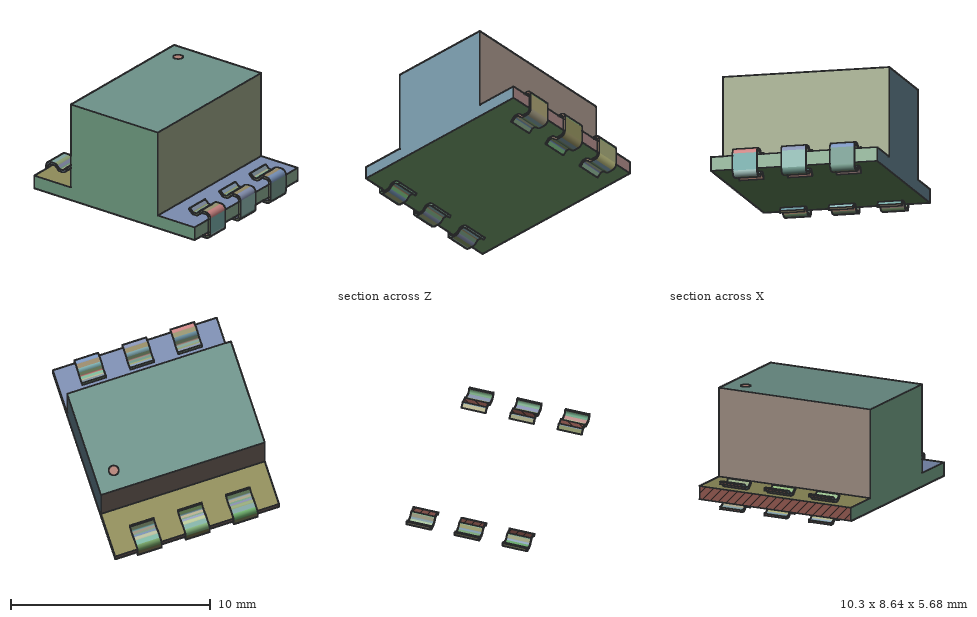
import cadquery as cq
import math

overall_width = 10.29
overall_height = 5.68
housing_depth = 8.64
base_thickness = 0.71
block_width = 5.45

strip_thickness = 0.12
clip_width = 1.27
clip_pitch = 2 * clip_width
clips_per_side = 3
clip_rise = 0.36
shoulder_radius = 0.28
contact_radius = 0.1
shoulder_flat = 0.24
contact_flat = 0.12
lip_length = 0.24
slope_angle = 45.0

mark_diameter = 0.5
mark_depth = 0.1
mark_inset = 1.0

base_width = overall_width - 2 * strip_thickness
base_bottom = clip_rise
base_middle = base_bottom + base_thickness / 2
mark_x = -block_width / 2 + mark_inset
mark_y = housing_depth / 2 - mark_inset

shoulder_bend = shoulder_radius - strip_thickness / 2
contact_bend = contact_radius + strip_thickness / 2

slope = math.radians(slope_angle)
bend_drop = (shoulder_bend + contact_bend) * (1 - math.cos(slope))
slope_length = (clip_rise - strip_thickness - bend_drop) / math.sin(slope)

upper_half_path = [
    (base_thickness / 2 + clip_rise - shoulder_radius,),
    (-90.0, shoulder_bend),
    (shoulder_flat,),
    (-slope_angle, shoulder_bend),
    (slope_length,),
    (slope_angle, contact_bend),
    (contact_flat,),
    (slope_angle, contact_bend),
    (lip_length,),
]


def make_mark():
    return (
        cq.Workplane("XY", origin=(mark_x, mark_y, overall_height))
        .circle(mark_diameter / 2)
        .extrude(-mark_depth)
    )


def make_housing():
    base = cq.Workplane("XY", origin=(0, 0, base_bottom)).box(
        base_width, housing_depth, base_thickness, centered=(True, True, False)
    )
    block = cq.Workplane("XY", origin=(0, 0, base_bottom)).box(
        block_width, housing_depth, overall_height - base_bottom, centered=(True, True, False)
    )
    return base.union(block).cut(make_mark())


def walk(path, x, z, heading):
    """List (x, z, heading) along a path: its start, then the middle and end of every step."""
    stations = [(x, z, heading)]
    for step in path:
        if len(step) == 1:
            half_turn = 0.0
            half_chord = step[0] / 2
        else:
            half_turn = math.radians(step[0]) / 2
            half_chord = 2 * step[1] * math.sin(abs(half_turn) / 2)
        for _ in range(2):
            chord_heading = heading + half_turn / 2
            x += half_chord * math.cos(chord_heading)
            z += half_chord * math.sin(chord_heading)
            heading += half_turn
            stations.append((x, z, heading))
    return stations


def strip_side(stations, offset):
    """Points of a side of the strip, at an offset to the left of its centreline."""
    return [(x - offset * math.sin(a), z + offset * math.cos(a)) for x, z, a in stations]


def draw_side(sketch, points, path):
    """Continue a sketch along a side of the strip: a line for each straight, an arc for each bend."""
    for index, step in enumerate(path):
        middle, end = points[2 * index + 1:2 * index + 3]
        if len(step) == 1:
            sketch = sketch.lineTo(*end)
        else:
            sketch = sketch.threePointArc(middle, end)
    return sketch


def make_left_clip(y):
    """Clip on the -X edge of the base plate, centred at the given Y."""
    start_x = -overall_width / 2 + strip_thickness / 2
    stations = walk(upper_half_path, start_x, base_middle, math.pi / 2)
    outer = strip_side(stations, strip_thickness / 2)
    inner = strip_side(stations, -strip_thickness / 2)[::-1]

    sketch = cq.Workplane("XZ", origin=(0, y, 0)).moveTo(*outer[0])
    sketch = draw_side(sketch, outer, upper_half_path)
    sketch = sketch.lineTo(*inner[0])
    sketch = draw_side(sketch, inner, upper_half_path[::-1])
    upper_half = sketch.close().extrude(clip_width / 2, both=True)
    lower_half = upper_half.mirror("XY", (0, 0, base_middle))
    return upper_half.union(lower_half)


housing = make_housing()
mark = make_mark()

clips = []
for row in range(clips_per_side):
    left_clip = make_left_clip((row - (clips_per_side - 1) / 2) * clip_pitch)
    clips.append(left_clip.val())
    clips.append(left_clip.mirror("YZ").val())

result = cq.Compound.makeCompound([housing.val(), mark.val(), *clips])